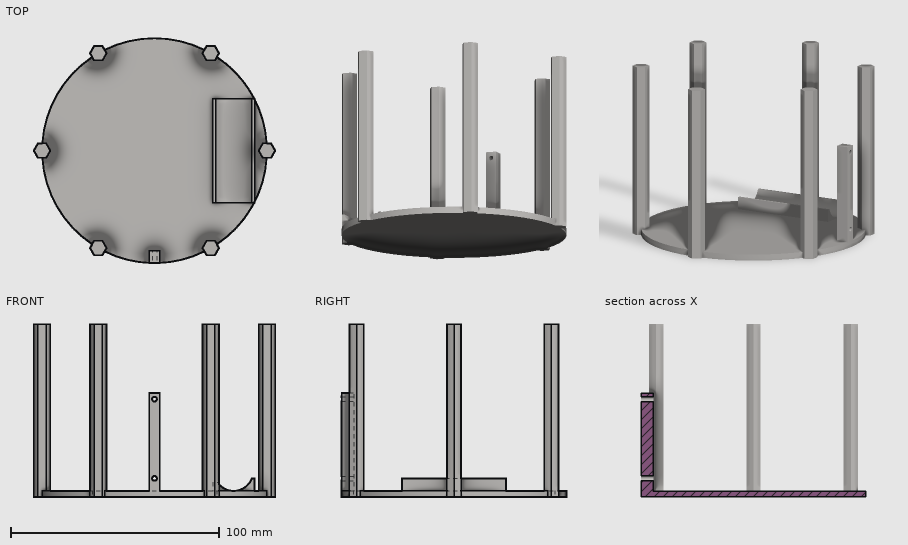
import cadquery as cq

plate_radius = 54.0
plate_thickness = 3.0

column_count = 6
column_across_corners = 8.0
column_height = 83.0

upright_width = 5.2
upright_depth = 6.0
upright_top = 50.0
screw_hole_diameter = 2.2
lower_hole_height = 9.0
screw_hole_spacing = 38.0

cradle_center_x = 38.0
cradle_width = 20.0
cradle_length = 50.0
cradle_height = 6.0
cradle_bore_radius = 9.3


def make_plate():
    return cq.Workplane("XY").circle(plate_radius).extrude(plate_thickness)


def make_columns():
    return (
        cq.Workplane("XY")
        .polarArray(plate_radius, 0, 360, column_count, rotate=False)
        .polygon(6, column_across_corners)
        .extrude(column_height)
    )


def make_upright():
    center_y = -plate_radius + upright_depth / 2
    upright = (
        cq.Workplane("XY")
        .center(0, center_y)
        .rect(upright_width, upright_depth)
        .extrude(upright_top)
    )
    hole_heights = (lower_hole_height, lower_hole_height + screw_hole_spacing)
    holes = (
        cq.Workplane("XZ", origin=(0, center_y, 0))
        .pushPoints([(0, height) for height in hole_heights])
        .circle(screw_hole_diameter / 2)
        .extrude(upright_depth, both=True)
    )
    rim_cylinder = cq.Workplane("XY").circle(plate_radius).extrude(upright_top)
    return upright.intersect(rim_cylinder).cut(holes)


def make_cradle():
    """Block on the plate whose round trough just touches the plate's top face."""
    block = (
        cq.Workplane("XY", origin=(cradle_center_x, 0, plate_thickness))
        .rect(cradle_width, cradle_length)
        .extrude(cradle_height)
    )
    trough = (
        cq.Workplane("XZ", origin=(cradle_center_x, 0, plate_thickness + cradle_bore_radius))
        .circle(cradle_bore_radius)
        .extrude(cradle_length, both=True)
    )
    return block.cut(trough)


result = make_plate().union(make_cradle()).union(make_upright()).union(make_columns())